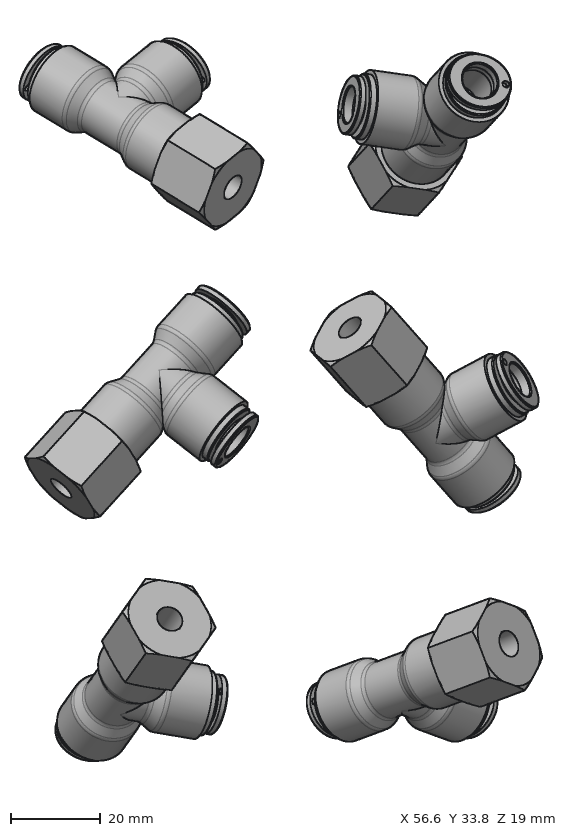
import cadquery as cq
import math


port_reach = 22.85
overall_length = 56.6
collar_face = 20.5
socket_face = 18.85
socket_start = 9.35
nut_end = overall_length - port_reach
nut_length = 14.95
nut_start = nut_end - nut_length

socket_dia = 16.7
waist_dia = 13.15
cone_angle = 30.0
blend_radius = 2.0

tube_dia = 8.2
passage_dia = 6.0

collar_dia = 14.7

flange_width = 14.95
flange_height = 13.0
flange_thickness = 1.4
stem_dia = 9.6
pin_hole_dia = 1.5
pin_hole_offset = 6.05

edge_chamfer = 0.3

hex_flats = 19.0
hex_corners = hex_flats / math.cos(math.radians(30))
nut_face_dia = 19.45
nut_chamfer_depth = 0.45

port_angles = {"run": 0, "branch": -90}

pin_hole_sides = {"run": -1, "branch": 1}


def cylinder_along_x(diameter, start, end):
    """Solid cylinder on the X axis between two X positions."""
    return cq.Workplane("YZ", origin=(start, 0, 0)).circle(diameter / 2).extrude(end - start)


def turned(part, angle):
    """Copy of a part rotated about the vertical axis through the tee centre."""
    return part.rotate((0, 0, 0), (0, 0, 1), angle)


def housing_arm(length):
    """Solid arm along -X: waist, blended cone, then the full-diameter socket."""
    waist_radius = waist_dia / 2
    socket_radius = socket_dia / 2
    slope = math.radians(cone_angle)
    blend_length = blend_radius * math.sin(slope)
    blend_rise = blend_radius * (1 - math.cos(slope))
    mid_length = blend_radius * math.sin(slope / 2)
    mid_rise = blend_radius * (1 - math.cos(slope / 2))
    cone_rise = socket_radius - waist_radius - 2 * blend_rise
    cone_end = socket_start - blend_length
    cone_start = cone_end - cone_rise / math.tan(slope)
    waist_end = cone_start - blend_length
    return (
        cq.Workplane("XY")
        .moveTo(0, 0)
        .lineTo(0, waist_radius)
        .lineTo(-waist_end, waist_radius)
        .threePointArc(
            (-waist_end - mid_length, waist_radius + mid_rise),
            (-cone_start, waist_radius + blend_rise),
        )
        .lineTo(-cone_end, socket_radius - blend_rise)
        .threePointArc(
            (-socket_start + mid_length, socket_radius - mid_rise),
            (-socket_start, socket_radius),
        )
        .lineTo(-length, socket_radius)
        .lineTo(-length, 0)
        .close()
        .revolve(360, (0, 0, 0), (1, 0, 0))
    )


def make_housing():
    body = turned(housing_arm(nut_start), 180)
    for angle in port_angles.values():
        body = body.union(turned(housing_arm(socket_face), angle))
    for angle in port_angles.values():
        tube_bore = cylinder_along_x(tube_dia, -socket_face, -socket_start)
        passage = cylinder_along_x(passage_dia, -socket_face, 0)
        body = body.cut(turned(tube_bore.union(passage), angle))
    return body.cut(cylinder_along_x(passage_dia, 0, nut_start))


def make_nut():
    hexagon = (
        cq.Workplane("YZ", origin=(nut_start, 0, 0))
        .polygon(6, hex_corners)
        .extrude(nut_length)
    )
    face_radius = nut_face_dia / 2
    corner_radius = hex_corners / 2
    envelope = (
        cq.Workplane("XY")
        .moveTo(nut_start, 0)
        .lineTo(nut_start, face_radius)
        .lineTo(nut_start + nut_chamfer_depth, corner_radius)
        .lineTo(nut_end - nut_chamfer_depth, corner_radius)
        .lineTo(nut_end, face_radius)
        .lineTo(nut_end, 0)
        .close()
        .revolve(360, (0, 0, 0), (1, 0, 0))
    )
    return hexagon.intersect(envelope).cut(cylinder_along_x(passage_dia, nut_start, nut_end))


def make_collar():
    """Ring seated on the mouth of a socket, its bore flush with the button's."""
    ring = cylinder_along_x(collar_dia, -collar_face, -socket_face)
    ring = ring.faces("<X").edges().chamfer(edge_chamfer)
    return ring.cut(cylinder_along_x(tube_dia, -collar_face, -socket_face))


def make_button(pin_hole_side):
    """Oval flange on a short stem that rests on the collar."""
    flange_back = flange_thickness - port_reach
    flange = (
        cq.Workplane("YZ", origin=(-port_reach, 0, 0))
        .ellipse(flange_width / 2, flange_height / 2)
        .extrude(flange_thickness)
        .faces("<X")
        .edges()
        .chamfer(edge_chamfer)
    )
    pin_hole = cylinder_along_x(pin_hole_dia, -port_reach, flange_back)
    pin_hole = pin_hole.translate((0, pin_hole_side * pin_hole_offset, 0))
    stem = cylinder_along_x(stem_dia, flange_back, -collar_face)
    tube_bore = cylinder_along_x(tube_dia, -port_reach, -collar_face)
    button = flange.cut(pin_hole).union(stem).cut(tube_bore)
    mouth = cq.selectors.RadiusNthSelector(-1)
    return button.faces("<X").edges("%CIRCLE").edges(mouth).chamfer(edge_chamfer)


housing = make_housing()
nut = make_nut()
collars = [turned(make_collar(), angle) for angle in port_angles.values()]
buttons = [turned(make_button(pin_hole_sides[port]), angle) for port, angle in port_angles.items()]

result = cq.Compound.makeCompound(
    [
        housing.val(),
        nut.val(),
        *[collar.val() for collar in collars],
        *[button.val() for button in buttons],
    ]
)